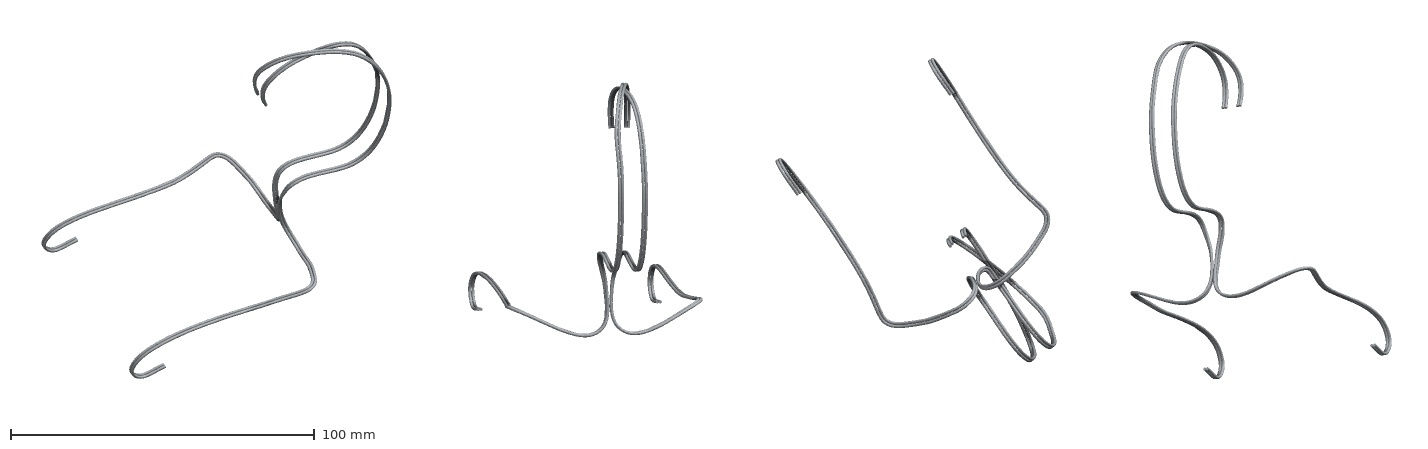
import cadquery as cq
import math

STRAND_DIAMETER = 1.0
STRAND_GAP = 0.02
STRAND_OFFSET = (STRAND_DIAMETER + STRAND_GAP) / 2

RIGHT, LEFT = 1, -1

HOOK_OUTWARD = {RIGHT: (-7.0, 4.7, 3.6), LEFT: (1.8, 3.4, 3.9)}
HOOK_LEAN = {RIGHT: 0.31, LEFT: 0.04}
HOOK_RISE = {RIGHT: 0.5, LEFT: -0.8}

HOOK_UPPER = [
    (68.1, 71.1), (67.1, 77.5), (67.9, 80.8), (71.2, 84.4), (77.4, 87.0), (85.2, 87.4),
    (93.1, 86.3), (100.5, 82.6), (106.0, 75.6), (109.3, 67.1), (111.1, 57.9),
]
HOOK_LOWER = [
    (110.9, 50.6), (109.6, 42.7), (107.2, 36.7), (103.0, 31.2), (97.4, 28.7), (90.7, 29.3),
    (84.1, 30.7), (78.5, 31.2),
]
ARM_STATIONS = [
    (3.6, 74.7, 30.2, -20),
    (2.7, 72.3, 26.0, -38),
    (1.5, 71.8, 21.1, -55),
    (0.9, 72.0, 16.0, -70),
    (0.84, 73.0, 9.8, -80),
    (2.3, 74.0, 5.8, -90),
    (5.0, 74.6, 3.8, -90),
    (8.0, 74.7, 3.1, -92),
    (12.3, 74.2, 3.7, -96),
    (19.0, 73.2, 6.3, -103),
    (26.7, 70.7, 9.8, -115),
    (30.4, 68.6, 11.4, -137),
    (32.1, 66.0, 12.0, -170),
    (32.0, 62.8, 11.6, -190),
    (30.9, 57.4, 11.1, -191),
    (29.9, 50.8, 10.6, -187),
    (29.3, 42.0, 11.3, -183),
    (29.2, 30.2, 12.6, -179),
    (29.6, 15.8, 13.5, -177),
    (30.0, 8.5, 12.7, -178),
    (30.2, 2.9, 10.3, -180),
    (30.3, 0.5, 6.1, -180),
    (30.3, 1.9, 2.6, -180),
    (30.3, 4.1, 0.9, -180),
    (30.3, 7.8, 0.7, -180),
    (30.3, 12.9, 1.3, -180),
]


def hook_top(hand):
    """Stations from the hook tip to its rearmost point, lifted or sunk most at mid-run."""
    tip, rear, _ = HOOK_OUTWARD[hand]
    lean = HOOK_LEAN[hand]
    turn = -math.degrees(math.atan(lean))
    tip_y = HOOK_UPPER[0][0]
    stations = []
    for index, (y, z) in enumerate(HOOK_UPPER):
        rise = HOOK_RISE[hand] * math.sin(math.pi * index / (len(HOOK_UPPER) - 1))
        outward = min(tip + lean * (y - tip_y), rear)
        stations.append((outward, y, z + rise, turn))
    return stations


def hook_base(hand):
    """Stations from the rearmost point to the shoulder, straight in plan."""
    _, rear, shoulder = HOOK_OUTWARD[hand]
    first_y, last_y = HOOK_LOWER[0][0], HOOK_LOWER[-1][0]
    slope = (shoulder - rear) / (last_y - first_y)
    turn = -math.degrees(math.atan(slope))
    return [(rear + slope * (y - first_y), y, z, turn) for y, z in HOOK_LOWER]


def twin_stations(hand):
    """All stations of one twin wire, from the hook tip to the end curl."""
    return hook_top(hand) + hook_base(hand) + ARM_STATIONS


def across(stations, index):
    """Unit vector between the strands: the station's turn, squared up to the centre line."""
    before = cq.Vector(*stations[max(index - 1, 0)][:3])
    after = cq.Vector(*stations[min(index + 1, len(stations) - 1)][:3])
    along = (after - before).normalized()
    turn = math.radians(stations[index][3])
    plan = cq.Vector(math.cos(turn), math.sin(turn), 0)
    return (plan - along * plan.dot(along)).normalized()


def strand(hand, offset):
    """One round strand, swept beside the centre line of its twin wire."""
    stations = twin_stations(hand)
    points = []
    for index, station in enumerate(stations):
        point = cq.Vector(*station[:3]) + across(stations, index) * offset
        points.append(cq.Vector(hand * point.x, point.y, point.z))
    path = cq.Edge.makeSpline(points)
    start = cq.Plane(origin=path.startPoint(), normal=path.tangentAt(0))
    return cq.Workplane(start).circle(STRAND_DIAMETER / 2).sweep(cq.Workplane(path), isFrenet=True)


strands = []
for hand in (RIGHT, LEFT):
    for offset in (STRAND_OFFSET, -STRAND_OFFSET):
        strands.append(strand(hand, offset).val())

result = cq.Compound.makeCompound(strands)